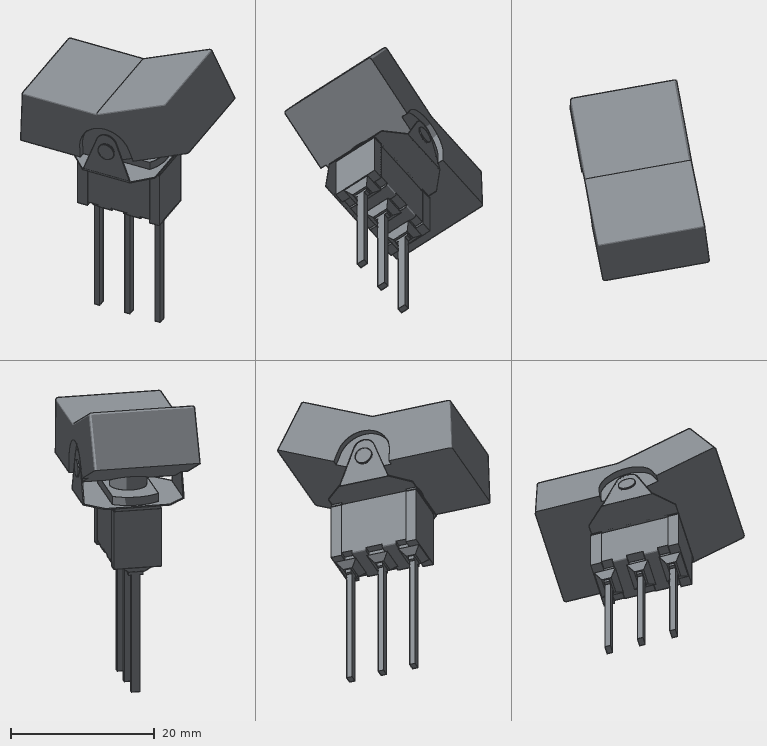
import cadquery as cq
import math


body_length = 12.7
core_length = 12.6
core_width = 6.55
body_height = 8.85
end_cap_length = 1.55
end_cap_width = 6.8
end_cap_height = 8.45
shell_length = body_length - 2 * end_cap_length
shell_edge_radius = 0.65

relief_height = 0.5
rib_width = 4.1
pad_start = 1.2
pad_end = 3.3
pad_radius = 0.43
terminal_pitch = 4.7
seal_length = 3.1
seal_height = 0.9
seal_inset = 0.85
terminal_thickness = 0.8
terminal_width = 1.2
shoulder_width = 2.05
shoulder_bottom = -1.45
terminal_bottom = -18.65

sheet_thickness = 0.15
bracket_width = 14.4
bracket_length = 12.57
ear_base_length = 7.35
ear_tip_diameter = 3.2
ear_tip_center = 14.2
bushing_diameter = 11.65
bushing_top = 10.22
stem_diameter = 5.2
pivot_height = 13.1
pivot_diameter = 2.45
pivot_length = 14.8

rocker_width = 15.1
wing_angle = 12.5
wing_top = 6.25
wing_bottom = 1.92
wing_reach = 13.3
end_draft = 2.0
rocker_edge_radius = 0.4
ear_pocket_floor_width = 13.25
ear_pocket_radius = 3.98
ear_pocket_flare = 9.3


def block(length, width, bottom, top):
    """Box centred on the Z axis between two heights."""
    return (
        cq.Workplane("XY", origin=(0, 0, bottom))
        .rect(length, width)
        .extrude(top - bottom)
    )


def mirrored_points(points):
    """Close a half outline by adding its mirror image across the vertical axis."""
    return points + [(-x, z) for x, z in reversed(points) if x != 0]


def make_end_piece(side, overall_length, width, height):
    """Block from one end of the shell out to half of an overall body length."""
    length = (overall_length - shell_length) / 2
    center = side * (overall_length - length) / 2
    return block(length, width, 0, height).translate((center, 0, 0))


def make_body():
    shell = block(shell_length, core_width, 0, body_height)
    shell = shell.edges("|X and >Z").fillet(shell_edge_radius)
    rib = block(shell_length, rib_width, 0, relief_height)
    shell = shell.cut(block(shell_length, core_width, 0, relief_height))
    pad_length = pad_end - pad_start
    pad_center = (pad_start + pad_end) / 2
    pad_blank = block(pad_length, core_width, 0, relief_height)
    rounded_pad = pad_blank.edges("|X and <Z").fillet(pad_radius)
    for side in (-1, 1):
        offset = (side * pad_center, 0, 0)
        rib = rib.cut(pad_blank.translate(offset)).union(rounded_pad.translate(offset))
    body = shell.union(rib)
    for side in (-1, 1):
        body = body.union(make_end_piece(side, core_length, core_width, body_height))
        body = body.union(make_end_piece(side, body_length, end_cap_width, end_cap_height))
    return body


def make_terminal():
    seal = (
        cq.Workplane("XY")
        .rect(seal_length, rib_width)
        .workplane(offset=-seal_height)
        .rect(seal_length - 2 * seal_inset, rib_width - 2 * seal_inset)
        .loft(ruled=True)
    )
    shoulder = block(terminal_thickness, shoulder_width, shoulder_bottom, -seal_height)
    pin = block(terminal_thickness, terminal_width, terminal_bottom, -seal_height)
    return seal.union(shoulder).union(pin)


def make_ear():
    """Upright triangular ear with a round tip, at the -Y edge of the bracket."""
    tip_radius = ear_tip_diameter / 2
    base_x = ear_base_length / 2
    drop = ear_tip_center - body_height
    tangent = math.acos(tip_radius / math.hypot(base_x, drop)) - math.atan2(drop, base_x)
    tangent_x = tip_radius * math.cos(tangent)
    tangent_z = ear_tip_center + tip_radius * math.sin(tangent)
    return (
        cq.Workplane("XZ", origin=(0, -bracket_width / 2 + sheet_thickness, 0))
        .moveTo(-base_x, body_height)
        .lineTo(base_x, body_height)
        .lineTo(tangent_x, tangent_z)
        .threePointArc((0, ear_tip_center + tip_radius), (-tangent_x, tangent_z))
        .close()
        .extrude(sheet_thickness)
    )


def make_bracket():
    corner = (bracket_length - ear_base_length) / 2
    plate = block(bracket_length, bracket_width, body_height, body_height + sheet_thickness)
    plate = plate.edges("|Z").chamfer(corner)
    ear = make_ear()
    return plate.union(ear).union(ear.mirror("XZ"))


def make_bushing():
    flange = cq.Workplane("XY", origin=(0, 0, body_height)).circle(bushing_diameter / 2)
    flange = flange.extrude(bushing_top - body_height)
    flange = flange.intersect(block(bushing_diameter, core_width, body_height, bushing_top))
    stem = cq.Workplane("XY", origin=(0, 0, body_height)).circle(stem_diameter / 2)
    return flange.union(stem.extrude(pivot_height - body_height))


def make_pivot():
    return (
        cq.Workplane("XZ", origin=(0, 0, pivot_height))
        .circle(pivot_diameter / 2)
        .extrude(pivot_length / 2, both=True)
    )


def make_ear_pocket():
    """Arched pocket in the -Y side of the rocker, about a pivot at the origin."""
    flare = math.radians(ear_pocket_flare)
    tangent_x = ear_pocket_radius * math.cos(flare)
    tangent_z = ear_pocket_radius * math.sin(flare)
    mouth_z = -2 * wing_bottom
    mouth_x = tangent_x + (tangent_z - mouth_z) * math.tan(flare)
    return (
        cq.Workplane("XZ", origin=(0, -ear_pocket_floor_width / 2, 0))
        .moveTo(-mouth_x, mouth_z)
        .lineTo(mouth_x, mouth_z)
        .lineTo(tangent_x, tangent_z)
        .threePointArc((0, ear_pocket_radius), (-tangent_x, tangent_z))
        .close()
        .extrude(rocker_width)
    )


def make_rocker():
    wing = math.radians(wing_angle)

    def on_wing(along, square):
        """Point on the +X wing: distance along it and distance square to it."""
        return (
            along * math.cos(wing) - square * math.sin(wing),
            along * math.sin(wing) + square * math.cos(wing),
        )

    top_reach = wing_reach - (wing_top + wing_bottom) * math.tan(math.radians(end_draft))
    half_outline = [
        (0, -wing_bottom / math.cos(wing)),
        on_wing(wing_reach, -wing_bottom),
        on_wing(top_reach, wing_top),
        (0, wing_top / math.cos(wing)),
    ]
    rocker = cq.Workplane("XZ").polyline(mirrored_points(half_outline)).close()
    rocker = rocker.extrude(rocker_width / 2, both=True)
    far = 2 * wing_reach
    right_edges = cq.selectors.BoxSelector((0.43, -far, wing_bottom), (far, far, far))
    left_edges = cq.selectors.BoxSelector((-far, -far, wing_bottom), (-0.43, far, far))
    rocker = rocker.edges(right_edges + left_edges).fillet(rocker_edge_radius)
    pocket = make_ear_pocket()
    rocker = rocker.cut(pocket).cut(pocket.mirror("XZ"))
    return rocker.rotate((0, 0, 0), (0, 1, 0), -wing_angle).translate((0, 0, pivot_height))


terminal = make_terminal()
result = make_body()
for position in (-1, 0, 1):
    result = result.union(terminal.translate((position * terminal_pitch, 0, 0)))
result = result.union(make_bracket()).union(make_bushing())
result = result.union(make_rocker()).union(make_pivot())